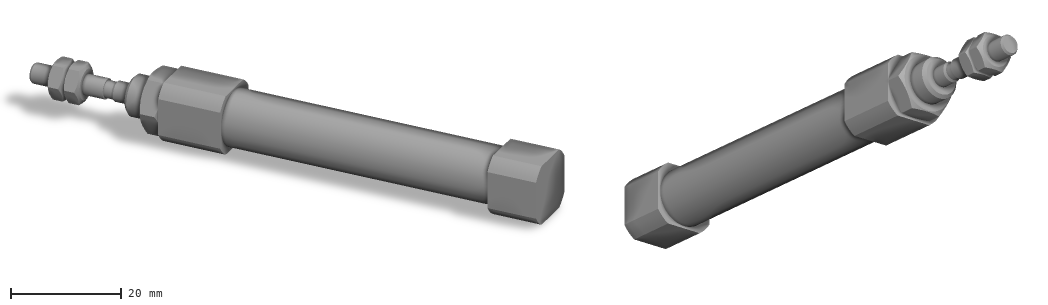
import cadquery as cq
import math

overall_length = 104.0
collar_start = 20.0
mounting_nut_start = 23.9
mounting_nut_thickness = 4.1
front_cover_start = mounting_nut_start + mounting_nut_thickness
front_cover_length = 12.5
rear_cover_length = 9.8

cover_width = 12.0
cover_corner_diameter = 14.0
tube_diameter = 11.0
collar_diameter = 8.0
collar_chamfer = 0.6

rod_diameter = 4.0
rod_tip_diameter = 3.3
rod_tip_length = 0.4
rod_end = front_cover_start + front_cover_length
groove_start = 14.9
groove_cone_start = 16.5
groove_cone_end = 17.0
groove_diameter = 3.3

mounting_nut_width = 11.0
mounting_nut_face_diameter = 10.7
rod_nut_width = 7.0
rod_nut_face_diameter = 5.9
rod_nut_thickness = 3.2
rod_nuts_start = 4.3
rod_nut_count = 2
nut_chamfer_angle = math.radians(30)


def rod_along_x(start, end, diameter):
    """Round cylinder on the X axis between two positions."""
    return cq.Workplane("YZ", origin=(start, 0, 0)).circle(diameter / 2).extrude(end - start)


def make_cover(start, length):
    """Square block whose corners are rounded by a concentric cylinder."""
    block = cq.Workplane("YZ", origin=(start, 0, 0)).rect(cover_width, cover_width).extrude(length)
    return block.intersect(rod_along_x(start, start + length, cover_corner_diameter))


def make_cylinder_body():
    """Chamfered collar, front cover, tube and rear cover in one piece, with a blind bore for the rod."""
    collar = rod_along_x(collar_start, front_cover_start, collar_diameter)
    collar = collar.faces("<X").chamfer(collar_chamfer)
    rear_cover_start = overall_length - rear_cover_length
    front_cover = make_cover(front_cover_start, front_cover_length)
    rear_cover = make_cover(rear_cover_start, rear_cover_length)
    tube = rod_along_x(front_cover_start, overall_length, tube_diameter)
    body = tube.union(front_cover).union(rear_cover).union(collar)
    return body.cut(rod_along_x(collar_start, rod_end, rod_diameter))


def make_rod():
    """Turned rod with a chamfered tip and a groove that ends in a cone."""
    rod_radius = rod_diameter / 2
    groove_radius = groove_diameter / 2
    profile = (
        cq.Workplane("XY")
        .moveTo(0, 0)
        .lineTo(0, rod_tip_diameter / 2)
        .lineTo(rod_tip_length, rod_radius)
        .lineTo(groove_start, rod_radius)
        .lineTo(groove_start, groove_radius)
        .lineTo(groove_cone_start, groove_radius)
        .lineTo(groove_cone_end, rod_radius)
        .lineTo(rod_end, rod_radius)
        .lineTo(rod_end, 0)
        .close()
    )
    return profile.revolve(360, (0, 0, 0), (1, 0, 0))


def make_nut(start, thickness, width, face_diameter, bore_diameter):
    """Hexagon nut with corners along Y and conical chamfers at both ends."""
    corner_radius = width / math.sqrt(3)
    face_radius = face_diameter / 2
    chamfer_length = (corner_radius - face_radius) * math.tan(nut_chamfer_angle)
    end = start + thickness
    hexagon = cq.Workplane("YZ", origin=(start, 0, 0)).polygon(6, 2 * corner_radius).extrude(thickness)
    chamfer_envelope = (
        cq.Workplane("XY")
        .moveTo(start, 0)
        .lineTo(start, face_radius)
        .lineTo(start + chamfer_length, corner_radius)
        .lineTo(end - chamfer_length, corner_radius)
        .lineTo(end, face_radius)
        .lineTo(end, 0)
        .close()
        .revolve(360, (0, 0, 0), (1, 0, 0))
    )
    return hexagon.intersect(chamfer_envelope).cut(rod_along_x(start, end, bore_diameter))


cylinder_body = make_cylinder_body()
piston_rod = make_rod()
mounting_nut = make_nut(
    mounting_nut_start,
    mounting_nut_thickness,
    mounting_nut_width,
    mounting_nut_face_diameter,
    collar_diameter,
)
rod_nuts = []
for index in range(rod_nut_count):
    nut_start = rod_nuts_start + index * rod_nut_thickness
    rod_nut = make_nut(nut_start, rod_nut_thickness, rod_nut_width, rod_nut_face_diameter, rod_diameter)
    rod_nuts.append(rod_nut.val())

result = cq.Compound.makeCompound([cylinder_body.val(), piston_rod.val(), mounting_nut.val(), *rod_nuts])